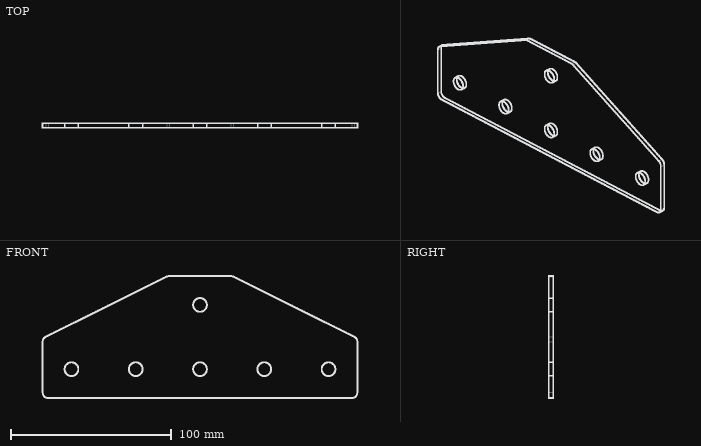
import cadquery as cq

length = 196.0
thickness = 3.0
height = 76.0
side_height = 37.2
top_width = 40.0
corner_radius = 3.5

hole_diameter = 8.5
hole_pitch = 40.0
row_hole_count = 5
row_height = 18.0


def plate():
    """Symmetric plate standing in the XZ plane, base at Z = 0, with rounded corners."""
    half_length = length / 2
    half_top = top_width / 2
    outline = [
        (-half_length, 0),
        (half_length, 0),
        (half_length, side_height),
        (half_top, height),
        (-half_top, height),
        (-half_length, side_height),
    ]
    body = cq.Workplane("XZ").polyline(outline).close().extrude(thickness)
    return body.edges("|Y").fillet(corner_radius)


def mounting_holes():
    """Cylinders through the plate thickness at every hole centre."""
    first_x = -hole_pitch * (row_hole_count - 1) / 2
    centres = [(first_x + i * hole_pitch, row_height) for i in range(row_hole_count)]
    centres.append((0, row_height + hole_pitch))
    return cq.Workplane("XZ").pushPoints(centres).circle(hole_diameter / 2).extrude(thickness)


result = plate().cut(mounting_holes())